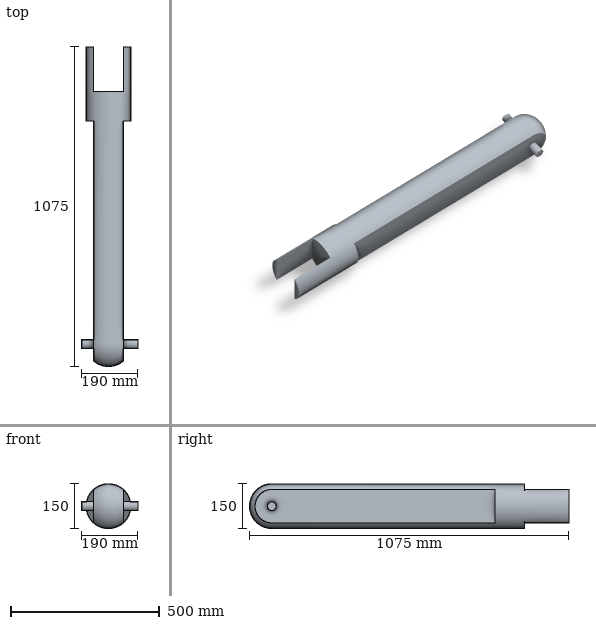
import cadquery as cq

total_length = 1075.0
rod_diameter = 150.0
rod_radius = rod_diameter / 2
flat_width = 100.0
fork_depth = 149.0
full_round_length = 249.0

pin_diameter = 30.0
pin_left_reach = 90.0
pin_right_reach = 100.0

rear_y = total_length - rod_radius
flats_end_y = rear_y - full_round_length


def make_domed_rod():
    rod = cq.Workplane("XZ").circle(rod_radius).extrude(-rear_y)
    dome = cq.Workplane("XY").sphere(rod_radius)
    return rod.union(dome)


def make_side_cutter(side):
    """Block that cuts one flat; side is -1 for -X and 1 for +X."""
    length = flats_end_y + rod_radius
    center_x = side * (flat_width + rod_diameter) / 2
    center_y = (flats_end_y - rod_radius) / 2
    return cq.Workplane("XY").box(rod_diameter, length, rod_diameter).translate((center_x, center_y, 0))


def make_fork_cutter():
    cutter = cq.Workplane("XY").box(flat_width, fork_depth, rod_diameter)
    return cutter.translate((0, rear_y - fork_depth / 2, 0))


def make_cross_pin():
    pin = cq.Workplane("YZ").workplane(offset=-pin_left_reach).circle(pin_diameter / 2)
    return pin.extrude(pin_left_reach + pin_right_reach)


body = make_domed_rod().cut(make_fork_cutter())
for side in (-1, 1):
    body = body.cut(make_side_cutter(side))

result = body.union(make_cross_pin())